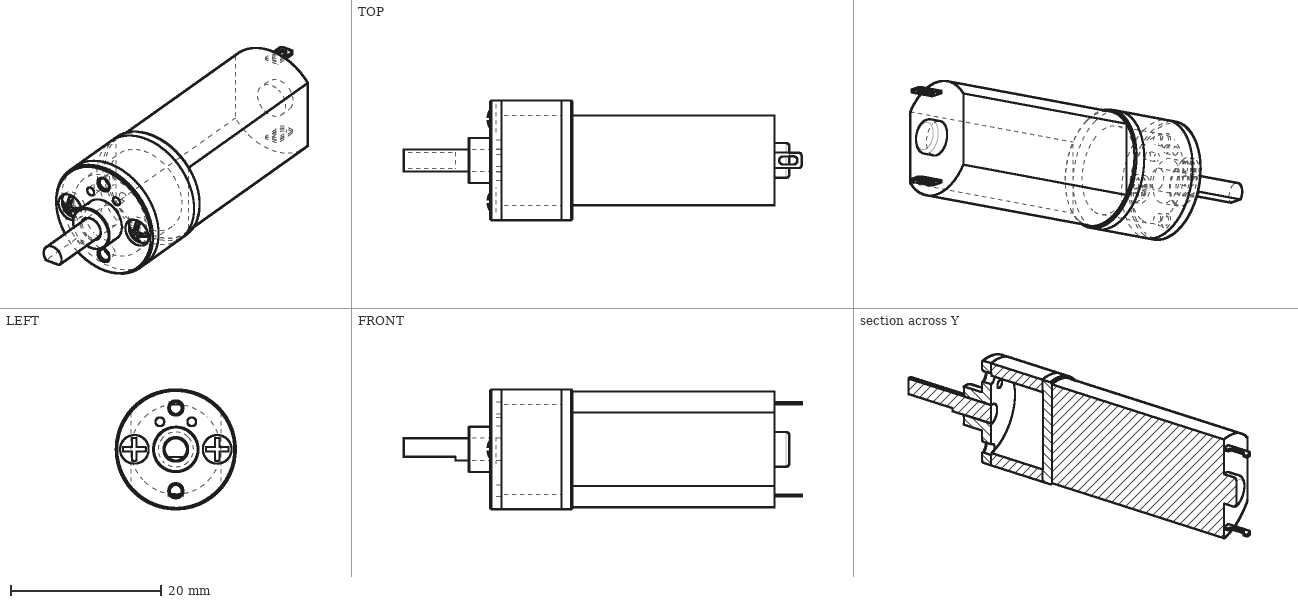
import cadquery as cq
import math

TOTAL_LENGTH = 53.0
BOSS_FRONT = 8.65
COVER_FRONT = 11.5
HOUSING_FRONT = 13.0
HOUSING_BACK = 21.0
MOTOR_FRONT = 22.45
MOTOR_BACK = 49.4

SHAFT_RADIUS = 1.5
SHAFT_FLAT_HEIGHT = 1.0
SHAFT_FLAT_LENGTH = 6.9

GEARBOX_RADIUS = 8.0
CAVITY_RADIUS = 6.0
EDGE_CHAMFER = 0.2
BOSS_RADIUS = 3.0
BOSS_CHAMFER = 0.1
BORE_CHAMFER = 0.15

BOLT_CIRCLE_RADIUS = 5.5
MOUNT_HOLE_RADIUS = 0.8
MOUNT_HOLE_CHAMFER = 0.2
PIN_HOLE_RADIUS = 0.6
PIN_CIRCLE_RADIUS = 4.25
PIN_HOLE_ANGLE = 30.0

HEAD_RADIUS = 1.9
HEAD_DOME_HEIGHT = 1.15
HEAD_PROTRUSION = 0.35
CROSS_SLOT_WIDTH = 0.6
CROSS_SLOT_DEPTH = 0.65
HEAD_FRONT = COVER_FRONT - HEAD_PROTRUSION
HEAD_BACK = HEAD_FRONT + HEAD_DOME_HEIGHT

MOTOR_RADIUS = 7.75
MOTOR_WIDTH = 12.0
BEARING_RADIUS = 2.35
BEARING_LENGTH = 1.95
BEARING_FILLET = 0.5

TERMINAL_WIDTH = 2.05
TERMINAL_THICKNESS = 0.3
TERMINAL_HEIGHT = 6.15
TERMINAL_CORNER = 0.4
TERMINAL_LENGTH = TOTAL_LENGTH - MOTOR_BACK
TERMINAL_MIDDLE = MOTOR_BACK + TERMINAL_LENGTH / 2
TERMINAL_SLOT_LENGTH = 2.45
TERMINAL_SLOT_WIDTH = 1.05


def rod(radius, x_start, x_end, y=0.0, z=0.0):
    """Cylinder along X between two stations."""
    return (
        cq.Workplane("YZ", origin=(x_start, y, z))
        .circle(radius)
        .extrude(x_end - x_start)
    )


def make_shaft():
    shaft = rod(SHAFT_RADIUS, 0, HOUSING_FRONT)
    flat_cut = cq.Workplane("XY").box(
        SHAFT_FLAT_LENGTH, 2 * SHAFT_RADIUS, SHAFT_RADIUS, centered=(False, True, False)
    )
    return shaft.cut(flat_cut.translate((0, 0, -SHAFT_FLAT_HEIGHT - SHAFT_RADIUS)))


def make_hole(radius, chamfer, x_start, z=0.0):
    """Cutter for a hole that runs to the back of the front cover, with a chamfered mouth."""
    hole = rod(radius, x_start, HOUSING_FRONT, z=z)
    mouth = cq.Solid.makeCone(
        radius + chamfer, radius, chamfer, pnt=cq.Vector(x_start, 0, z), dir=cq.Vector(1, 0, 0)
    )
    return hole.union(cq.Workplane(mouth))


def make_front_cover():
    cover = rod(GEARBOX_RADIUS, COVER_FRONT, HOUSING_FRONT).faces("<X").chamfer(EDGE_CHAMFER)
    boss = rod(BOSS_RADIUS, BOSS_FRONT, HOUSING_FRONT).faces("<X").chamfer(BOSS_CHAMFER)
    cover = cover.union(boss).cut(make_hole(SHAFT_RADIUS, BORE_CHAMFER, BOSS_FRONT))
    pin_y = PIN_CIRCLE_RADIUS * math.sin(math.radians(PIN_HOLE_ANGLE))
    pin_z = PIN_CIRCLE_RADIUS * math.cos(math.radians(PIN_HOLE_ANGLE))
    for side in (-1, 1):
        cover = cover.cut(make_hole(
            MOUNT_HOLE_RADIUS, MOUNT_HOLE_CHAMFER, COVER_FRONT, side * BOLT_CIRCLE_RADIUS
        ))
        cover = cover.cut(rod(PIN_HOLE_RADIUS, COVER_FRONT, HOUSING_FRONT, side * pin_y, pin_z))
        cover = cover.cut(rod(HEAD_RADIUS, COVER_FRONT, HEAD_BACK, side * BOLT_CIRCLE_RADIUS))
    return cover


def make_housing():
    cavity = rod(CAVITY_RADIUS, HOUSING_FRONT, HOUSING_BACK)
    return rod(GEARBOX_RADIUS, HOUSING_FRONT, HOUSING_BACK).cut(cavity)


def make_rear_cover():
    return rod(GEARBOX_RADIUS, HOUSING_BACK, MOTOR_FRONT).faces(">X").chamfer(EDGE_CHAMFER)


def make_screw(y):
    """Domed screw head with a cross slot."""
    sphere_radius = (HEAD_RADIUS**2 + HEAD_DOME_HEIGHT**2) / (2 * HEAD_DOME_HEIGHT)
    sphere = cq.Workplane("XY").sphere(sphere_radius).translate((HEAD_FRONT + sphere_radius, y, 0))
    head = rod(HEAD_RADIUS, HEAD_FRONT, HEAD_BACK, y).intersect(sphere)
    for slot_y, slot_z in (
        (2 * HEAD_RADIUS, CROSS_SLOT_WIDTH),
        (CROSS_SLOT_WIDTH, 2 * HEAD_RADIUS),
    ):
        slot = cq.Workplane("XY").box(
            CROSS_SLOT_DEPTH, slot_y, slot_z, centered=(False, True, True)
        )
        head = head.cut(slot.translate((HEAD_FRONT, y, 0)))
    return head


def make_motor():
    length = MOTOR_BACK - MOTOR_FRONT
    envelope = cq.Workplane("XY").box(
        length, MOTOR_WIDTH, 2 * MOTOR_RADIUS, centered=(False, True, True)
    )
    can = rod(MOTOR_RADIUS, MOTOR_FRONT, MOTOR_BACK).intersect(envelope.translate((MOTOR_FRONT, 0, 0)))
    bearing = (
        rod(BEARING_RADIUS, MOTOR_BACK, MOTOR_BACK + BEARING_LENGTH)
        .faces(">X").edges().fillet(BEARING_FILLET)
    )
    return can.union(bearing)


def make_terminal(z):
    """Flat lug with a slotted eye and rounded end corners."""
    plate = (
        cq.Workplane("XY")
        .box(TERMINAL_LENGTH, TERMINAL_WIDTH, TERMINAL_THICKNESS)
        .edges("|Z and >X").fillet(TERMINAL_CORNER)
    )
    eye = (
        cq.Workplane("XY", origin=(0, 0, -TERMINAL_THICKNESS / 2))
        .slot2D(TERMINAL_SLOT_LENGTH, TERMINAL_SLOT_WIDTH)
        .extrude(TERMINAL_THICKNESS)
    )
    return plate.cut(eye).translate((TERMINAL_MIDDLE, 0, z))


shaft = make_shaft()
front_cover = make_front_cover()
housing = make_housing()
rear_cover = make_rear_cover()
motor = make_motor()
screws = [make_screw(side * BOLT_CIRCLE_RADIUS) for side in (-1, 1)]
terminals = [make_terminal(side * TERMINAL_HEIGHT) for side in (-1, 1)]

bodies = [shaft, front_cover, housing, rear_cover, motor, *screws, *terminals]
result = cq.Compound.makeCompound([body.val() for body in bodies])